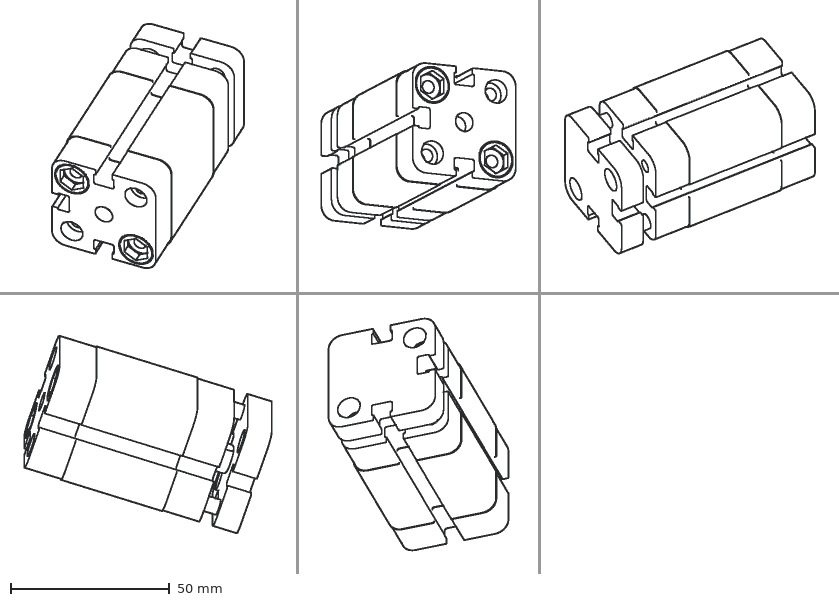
import cadquery as cq

CAP_LENGTH = 12.2
GAP = 4.6
PLATE_THICKNESS = 8.0
TOTAL_LENGTH = 70.5
PLATE_START = TOTAL_LENGTH - PLATE_THICKNESS
BODY_LENGTH = PLATE_START - GAP
REAR_CAP_START = BODY_LENGTH - CAP_LENGTH
BARREL_LENGTH = REAR_CAP_START - CAP_LENGTH

BARREL_WIDTH = 36.1
STEP = 0.2
CAP_WIDTH = BARREL_WIDTH - 2 * STEP
CORNER_RADIUS = 4.6

SLOT_MOUTH = 5.65
SLOT_WIDTH = 6.85
LIP_INNER = 15.8
CAP_SLOT_FLOOR = 11.85
BARREL_SLOT_FLOOR = CAP_SLOT_FLOOR + STEP
MOUTH_RADIUS = 0.4
LIP_RADIUS = 0.5
FLOOR_RADIUS = 0.7
SLOT_ANGLES = (0, -90, 180)

HOLE_OFFSET = 11.0
SCREW_CORNERS = ((-HOLE_OFFSET, HOLE_OFFSET), (HOLE_OFFSET, -HOLE_OFFSET))
COUNTERBORE_CORNERS = ((HOLE_OFFSET, HOLE_OFFSET), (-HOLE_OFFSET, -HOLE_OFFSET))

SCREW_HOLE_DIAMETER = 11.7
SCREW_HEAD_DIAMETER = 11.1
RING_DEPTH = 0.7
HEX_ACROSS_FLATS = 8.0
HEX_DEPTH = 2.95
SOCKET_DEPTH = 3.25
SCREW_BORE_DIAMETER = 4.0

COUNTERBORE_DIAMETER = 7.5
COUNTERBORE_DEPTH = 4.5
MOUNTING_HOLE_DIAMETER = 4.15
MOUNTING_HOLE_DEPTH = 10.6
PORT_DIAMETER = 6.0
PORT_DEPTH = 5.65
PLATE_HOLE_DIAMETER = 7.5

ROD_DIAMETER = 10.0
ROD_END_RADIUS = 1.4
ROD_ACROSS_FLATS = 8.0
FLAT_LENGTH = 3.45
PIN_DIAMETER = 5.0
PIN_OFFSET = 12.05


def plane_at(y):
    """Sketch plane at depth y, with local axes along X and Z."""
    return cq.Workplane("XZ", origin=(0, y, 0))


def cylinder(diameter, start, length, x=0, z=0):
    """Cylinder along +Y from y = start, centered on (x, z)."""
    return plane_at(start).center(x, z).circle(diameter / 2).extrude(-length)


def slot_cutter(start, length, outside, floor):
    """T-shaped cutter for a slot that opens toward +Z, with flared mouth edges."""
    half_mouth = SLOT_MOUTH / 2
    half_width = SLOT_WIDTH / 2
    flare = half_mouth + MOUTH_RADIUS
    flare_end = outside - MOUTH_RADIUS
    clear_top = outside + MOUTH_RADIUS
    return (
        plane_at(start)
        .moveTo(flare, clear_top)
        .lineTo(flare, outside)
        .radiusArc((half_mouth, flare_end), -MOUTH_RADIUS)
        .lineTo(half_mouth, LIP_INNER)
        .lineTo(half_width - LIP_RADIUS, LIP_INNER)
        .radiusArc((half_width, LIP_INNER - LIP_RADIUS), LIP_RADIUS)
        .lineTo(half_width, floor + FLOOR_RADIUS)
        .radiusArc((half_width - FLOOR_RADIUS, floor), FLOOR_RADIUS)
        .lineTo(FLOOR_RADIUS - half_width, floor)
        .radiusArc((-half_width, floor + FLOOR_RADIUS), FLOOR_RADIUS)
        .lineTo(-half_width, LIP_INNER - LIP_RADIUS)
        .radiusArc((LIP_RADIUS - half_width, LIP_INNER), LIP_RADIUS)
        .lineTo(-half_mouth, LIP_INNER)
        .lineTo(-half_mouth, flare_end)
        .radiusArc((-flare, outside), -MOUTH_RADIUS)
        .lineTo(-flare, clear_top)
        .close()
        .extrude(-length)
    )


def slotted_block(start, length, width, floor):
    """Rounded square block with a T-slot on three of its sides."""
    block = plane_at(start).rect(width, width).extrude(-length).edges("|Y").fillet(CORNER_RADIUS)
    cutter = slot_cutter(start, length, width / 2, floor)
    for angle in SLOT_ANGLES:
        block = block.cut(cutter.rotate((0, 0, 0), (0, 1, 0), angle))
    return block


def cut_screw(body, x, z):
    """Groove around the screw head, hexagon socket with a round bottom, and through bore."""
    groove = cylinder(SCREW_HOLE_DIAMETER, 0, RING_DEPTH, x, z)
    groove = groove.cut(cylinder(SCREW_HEAD_DIAMETER, 0, RING_DEPTH, x, z))
    hexagon = plane_at(0).center(x, z).polygon(6, HEX_ACROSS_FLATS, circumscribed=True).extrude(-HEX_DEPTH)
    socket = cylinder(HEX_ACROSS_FLATS, 0, SOCKET_DEPTH, x, z)
    bore = cylinder(SCREW_BORE_DIAMETER, 0, BODY_LENGTH, x, z)
    return body.cut(groove).cut(hexagon).cut(socket).cut(bore)


def cut_counterbored_hole(body, x, z):
    counterbore = cylinder(COUNTERBORE_DIAMETER, 0, COUNTERBORE_DEPTH, x, z)
    hole = cylinder(MOUNTING_HOLE_DIAMETER, 0, MOUNTING_HOLE_DEPTH, x, z)
    return body.cut(counterbore).cut(hole)


def make_body():
    front_cap = slotted_block(0, CAP_LENGTH, CAP_WIDTH, CAP_SLOT_FLOOR)
    barrel = slotted_block(CAP_LENGTH, BARREL_LENGTH, BARREL_WIDTH, BARREL_SLOT_FLOOR)
    rear_cap = slotted_block(REAR_CAP_START, CAP_LENGTH, CAP_WIDTH, CAP_SLOT_FLOOR)
    body = front_cap.union(barrel).union(rear_cap)
    body = body.cut(cylinder(PORT_DIAMETER, 0, PORT_DEPTH))
    for x, z in SCREW_CORNERS:
        body = cut_screw(body, x, z)
    for x, z in COUNTERBORE_CORNERS:
        body = cut_counterbored_hole(body, x, z)
    return body


def make_plate():
    plate = slotted_block(PLATE_START, PLATE_THICKNESS, CAP_WIDTH, CAP_SLOT_FLOOR)
    for x, z in SCREW_CORNERS:
        plate = plate.cut(cylinder(PLATE_HOLE_DIAMETER, PLATE_START, PLATE_THICKNESS, x, z))
    return plate


def make_rod():
    """Rod with a rounded end and two wrench flats that run out at 45 degrees."""
    rod = cylinder(ROD_DIAMETER, BODY_LENGTH, GAP).faces(">Y").edges().fillet(ROD_END_RADIUS)
    rod_radius = ROD_DIAMETER / 2
    flat_x = ROD_ACROSS_FLATS / 2
    flat_start = PLATE_START - FLAT_LENGTH
    runout_start = flat_start - (rod_radius - flat_x)
    flat = (
        cq.Workplane("XY", origin=(0, 0, -rod_radius))
        .moveTo(flat_x, PLATE_START)
        .lineTo(flat_x, flat_start)
        .lineTo(rod_radius, runout_start)
        .lineTo(rod_radius, PLATE_START)
        .close()
        .extrude(ROD_DIAMETER)
    )
    return rod.cut(flat).cut(flat.mirror("YZ"))


result = make_body().union(make_plate()).union(make_rod())
for offset in (-PIN_OFFSET, PIN_OFFSET):
    result = result.union(cylinder(PIN_DIAMETER, BODY_LENGTH, GAP, offset, offset))